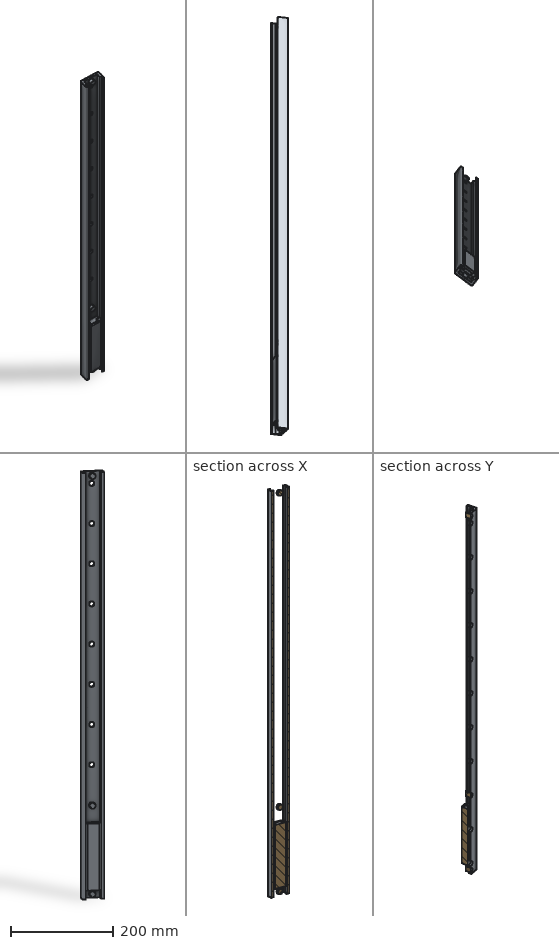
import cadquery as cq

rail_length = 850.0
rail_width = 43.0
rail_depth = 21.0
overall_depth = 22.0
web_thickness = 5.0
flange_thickness = 6.0
corner_radius = 2.5
lip_radius = 2.0
back_x = -overall_depth / 2
front_x = overall_depth / 2
web_inner_x = back_x + web_thickness
cavity_half_width = rail_width / 2 - flange_thickness

raceway_radius = 3.0
raceway_x = back_x + 16.0

hole_diameter = 10.0
hole_count = 11
end_hole_inset = 25.0
hole_pitch = (rail_length - 2 * end_hole_inset) / (hole_count - 1)
hole_heights = [end_hole_inset + index * hole_pitch for index in range(hole_count)]

stop_diameter = 12.0
button_height = 8.0
end_stop_inset = 8.5
end_stop_heights = [end_stop_inset, rail_length - end_stop_inset]
middle_stop_hole = 2
middle_stop_height = hole_heights[middle_stop_hole]
stop_heights = [*end_stop_heights, middle_stop_height]

plate_length = 133.5
plate_width = 23.0
plate_thickness = 8.0
neck_width = 16.0
neck_front_x = front_x - 4.0
body_length = 134.0
body_width = 27.0
body_back_x = web_inner_x + 2.0
body_front_x = web_inner_x + button_height
body_corner_radius = 2.5
runner_radius = 3.8
runner_center_y = 13.0
carriage_center_z = 84.0


def centered_box(x_start, x_end, width, length, center_z):
    """A box between two X positions, centred on Y = 0 and on the given height."""
    box = cq.Workplane("XY").box(x_end - x_start, width, length)
    return box.translate(((x_start + x_end) / 2, 0, center_z))


def upright_cylinder(x, y, radius, length, center_z):
    """A cylinder along Z, centred on the given height."""
    cylinder = cq.Workplane("XY").circle(radius).extrude(length / 2, both=True)
    return cylinder.translate((x, y, center_z))


def cross_cylinder(diameter, x_start, x_end, z):
    """A cylinder along X on the rail's centre plane."""
    cylinder = cq.Workplane("YZ").circle(diameter / 2).extrude(x_end - x_start)
    return cylinder.translate((x_start, 0, z))


def make_rail():
    mid_z = rail_length / 2
    rail = centered_box(back_x, back_x + rail_depth, rail_width, rail_length, mid_z)
    rail = rail.edges("|Z and <X").fillet(corner_radius)
    rail = rail.edges("|Z and >X").fillet(lip_radius)
    rail = rail.cut(centered_box(web_inner_x, front_x, 2 * cavity_half_width, rail_length, mid_z))
    for side in (-1, 1):
        raceway_y = side * cavity_half_width
        rail = rail.cut(upright_cylinder(raceway_x, raceway_y, raceway_radius, rail_length, mid_z))
    for z in hole_heights + end_stop_heights:
        rail = rail.cut(cross_cylinder(hole_diameter, back_x, web_inner_x, z))
    return rail


def make_carriage():
    center_z = carriage_center_z
    body = centered_box(body_back_x, body_front_x, body_width, body_length, center_z)
    body = body.edges("|Z and <X").fillet(body_corner_radius)
    for side in (-1, 1):
        runner_y = side * runner_center_y
        body = body.union(upright_cylinder(raceway_x, runner_y, runner_radius, body_length, center_z))
    neck = centered_box(body_front_x, neck_front_x, neck_width, body_length, center_z)
    plate = centered_box(front_x - plate_thickness, front_x, plate_width, plate_length, center_z)
    return body.union(neck).union(plate)


def make_stop(z):
    button = cross_cylinder(stop_diameter, web_inner_x, web_inner_x + button_height, z)
    shank = cross_cylinder(hole_diameter, back_x, web_inner_x, z)
    return button.union(shank)


rail = make_rail()
carriage = make_carriage()
stops = [make_stop(z) for z in stop_heights]

result = cq.Compound.makeCompound([rail.val(), carriage.val(), *[stop.val() for stop in stops]])